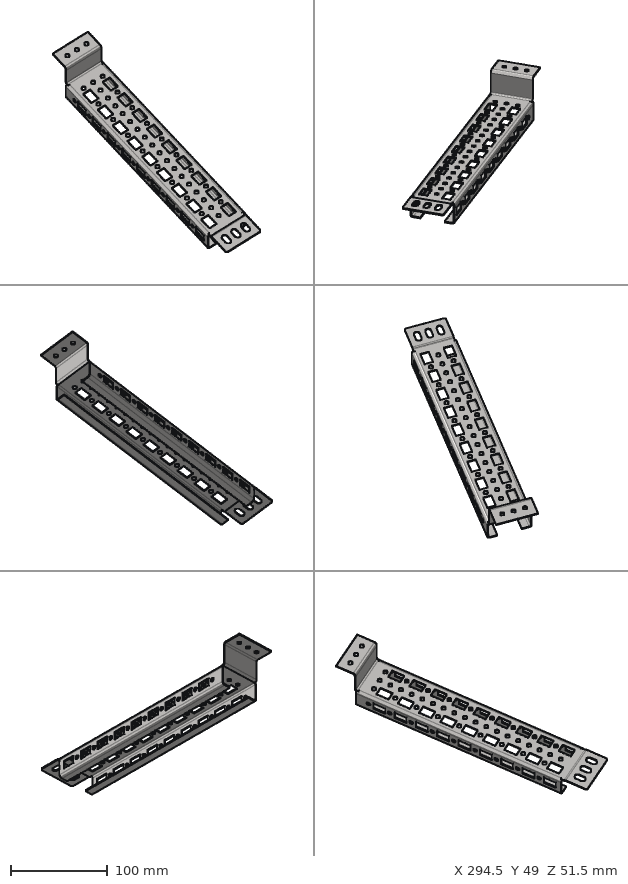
import cadquery as cq
import math

thickness = 1.5
bend_outer = 3.2
bend_inner = bend_outer - thickness

total_length = 294.5
total_height = 51.5

rail_start = 24.1
rail_end = 265.0
rail_width = 49.0
rail_height = 24.5
lip_reach = 11.2

pitch = 25.0
row_spacing = 12.5
window_row_spacing = 12.7
hole_diameter = 4.5
window_length = 14.0
window_width = 9.0
first_hole_x = 39.0
first_window_x = first_hole_x + pitch / 2
pattern_count = 9

flange_width = 46.0
riser_face_x = 23.3
flange_hole_x = 11.2

tongue_width = 45.0
tongue_corner = 2.0
step_start = 267.5
step_rise = 1.2
step_inner = 0.3
step_outer = step_inner + thickness
slot_x = 281.0
slot_length = 12.0
slot_width = 6.2


def strip(profile, width):
    """Extrude an XZ profile symmetrically about the centre plane."""
    return profile.extrude(width / 2, both=True)


def three_across(x):
    """Three points in line across the part, the middle one on the centre plane."""
    return [(x, row * row_spacing) for row in (-1, 0, 1)]


def rail_block(width, height, base_z, radius):
    """Solid bar along the rail with its four long edges rounded."""
    bar = cq.Workplane("XY").box(rail_end - rail_start, width, height, centered=(False, True, False))
    return bar.translate((rail_start, 0, base_z)).edges("|X").fillet(radius)


def make_rail():
    """C-section: hollow tube opened between its two bottom lips."""
    outer = rail_block(rail_width, rail_height, 0, bend_outer)
    inner = rail_block(rail_width - 2 * thickness, rail_height - 2 * thickness, thickness, bend_inner)
    mouth = (
        cq.Workplane("XY")
        .box(rail_end - rail_start, rail_width - 2 * lip_reach, 2 * thickness, centered=(False, True, False))
        .translate((rail_start, 0, 0))
    )
    return outer.cut(inner).cut(mouth)


def make_raised_flange():
    """Z-shaped strip: from the rail top up the riser and out to the flange."""
    rail_bottom = rail_height - thickness
    riser_back_x = riser_face_x - thickness
    inner_top = total_height - thickness
    lower_tangent_x = riser_face_x + bend_inner
    strip_end = lower_tangent_x + thickness
    profile = (
        cq.Workplane("XZ")
        .moveTo(0, total_height)
        .lineTo(riser_face_x - bend_outer, total_height)
        .radiusArc((riser_face_x, total_height - bend_outer), bend_outer)
        .lineTo(riser_face_x, rail_height + bend_inner)
        .radiusArc((lower_tangent_x, rail_height), -bend_inner)
        .lineTo(strip_end, rail_height)
        .lineTo(strip_end, rail_bottom)
        .lineTo(lower_tangent_x, rail_bottom)
        .radiusArc((riser_back_x, rail_bottom + bend_outer), bend_outer)
        .lineTo(riser_back_x, inner_top - bend_inner)
        .radiusArc((riser_back_x - bend_inner, inner_top), -bend_inner)
        .lineTo(0, inner_top)
        .close()
    )
    holes = (
        cq.Workplane("XY", origin=(0, 0, inner_top))
        .pushPoints(three_across(flange_hole_x))
        .circle(hole_diameter / 2)
        .extrude(thickness)
    )
    return strip(profile, flange_width).cut(holes)


def make_tongue():
    """Strip continuing the rail top, stepped up, with three slots."""
    rail_bottom = rail_height - thickness
    tongue_top = rail_height + step_rise
    tongue_bottom = rail_bottom + step_rise
    strip_start = rail_end - thickness

    bend_sum = step_inner + step_outer
    bend_angle = math.acos(1 - step_rise / bend_sum)
    sine = math.sin(bend_angle)
    versine = 1 - math.cos(bend_angle)
    step_end = step_start + bend_sum * sine
    top_turn = (step_start + step_inner * sine, rail_height + step_inner * versine)
    bottom_turn = (step_start + step_outer * sine, rail_bottom + step_outer * versine)

    profile = (
        cq.Workplane("XZ")
        .moveTo(strip_start, rail_height)
        .lineTo(step_start, rail_height)
        .radiusArc(top_turn, -step_inner)
        .radiusArc((step_end, tongue_top), step_outer)
        .lineTo(total_length, tongue_top)
        .lineTo(total_length, tongue_bottom)
        .lineTo(step_end, tongue_bottom)
        .radiusArc(bottom_turn, -step_inner)
        .radiusArc((step_start, rail_bottom), step_outer)
        .lineTo(strip_start, rail_bottom)
        .close()
    )
    tongue = strip(profile, tongue_width).edges("|Z and >X").fillet(tongue_corner)
    slots = (
        cq.Workplane("XY", origin=(0, 0, rail_bottom))
        .pushPoints(three_across(slot_x))
        .slot2D(slot_length, slot_width)
        .extrude(thickness + step_rise)
    )
    return tongue.cut(slots)


def perforation(plane, hole_row, window_row, origin, depth):
    """One row of alternating round holes and rectangular windows."""
    base = cq.Workplane(plane, origin=origin)
    holes = [(first_hole_x + i * pitch, hole_row) for i in range(pattern_count)]
    windows = [(first_window_x + i * pitch, window_row) for i in range(pattern_count)]
    round_cutters = base.pushPoints(holes).circle(hole_diameter / 2).extrude(depth)
    window_cutters = base.pushPoints(windows).rect(window_length, window_width).extrude(depth)
    return round_cutters.union(window_cutters)


def top_perforation():
    """Two outer rows with windows and a middle row of closely spaced holes."""
    origin = (0, 0, rail_height - thickness)
    middle = [(first_hole_x + i * pitch / 2, 0) for i in range(2 * pattern_count)]
    cutters = cq.Workplane("XY", origin=origin).pushPoints(middle).circle(hole_diameter / 2).extrude(thickness)
    for side in (-1, 1):
        side_row = perforation("XY", side * row_spacing, side * window_row_spacing, origin, thickness)
        cutters = cutters.union(side_row)
    return cutters


def side_perforation():
    """One row of holes and windows through both side walls at mid height."""
    mid_height = rail_height / 2
    return perforation("XZ", mid_height, mid_height, (0, rail_width / 2, 0), rail_width)


rail = make_rail().cut(top_perforation()).cut(side_perforation())
result = rail.union(make_raised_flange()).union(make_tongue())